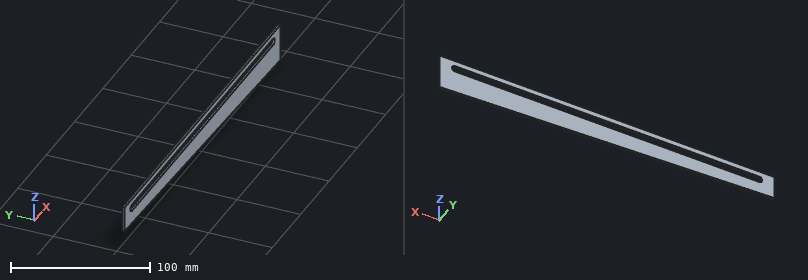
import cadquery as cq

length = 275.0
thickness = 2.0
tall_end = 30.0
short_end = 20.0

slot_width = 5.0
slot_top_margin = 5.0
slot_end_margin = 10.2
slot_length = length - 2 * slot_end_margin
slot_z = tall_end - slot_top_margin - slot_width / 2


def tapered_plate():
    """Plate with a level top edge and a bottom edge that drops towards +X."""
    outline = [
        (0, tall_end),
        (0, tall_end - short_end),
        (length, 0),
        (length, tall_end),
    ]
    return cq.Workplane("XZ").polyline(outline).close().extrude(-thickness)


def slot_cutter():
    """Through slot parallel to the top edge."""
    return (
        cq.Workplane("XZ")
        .center(length / 2, slot_z)
        .slot2D(slot_length, slot_width)
        .extrude(-thickness)
    )


result = tapered_plate().cut(slot_cutter())